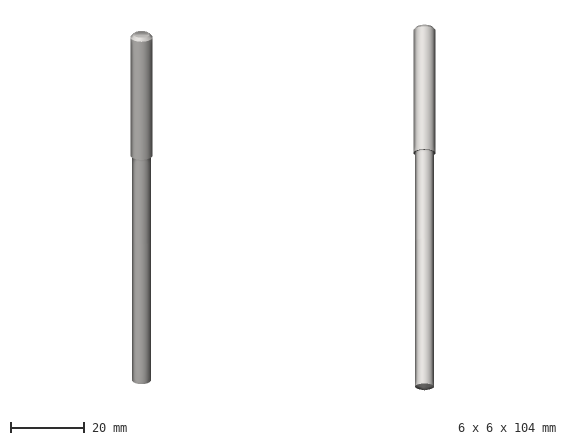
import cadquery as cq
import math

total_length = 104.0
shank_diameter = 6.0
shank_length = 36.0
shank_chamfer = 0.8
drill_diameter = 5.1
cutting_length = 42.6
point_angle = 135.0

shank_radius = shank_diameter / 2
drill_radius = drill_diameter / 2
point_height = drill_radius / math.tan(math.radians(point_angle / 2))
shank_bottom = total_length - shank_length


def revolve_profile(points):
    """Turn a closed (radius, height) outline about the Z axis."""
    return cq.Workplane("XZ").polyline(points).close().revolve(360, (0, 0), (0, 1))


def make_cutting_part():
    """Lower cylinder ending in the conical drill point."""
    return revolve_profile([
        (0, 0),
        (drill_radius, point_height),
        (drill_radius, cutting_length),
        (0, cutting_length),
    ])


def make_shank():
    """Neck and thicker shank with a chamfered top edge."""
    return revolve_profile([
        (0, cutting_length),
        (drill_radius, cutting_length),
        (drill_radius, shank_bottom),
        (shank_radius, shank_bottom),
        (shank_radius, total_length - shank_chamfer),
        (shank_radius - shank_chamfer, total_length),
        (0, total_length),
    ])


cutting_part = make_cutting_part()
shank = make_shank()
result = cq.Compound.makeCompound([cutting_part.val(), shank.val()])